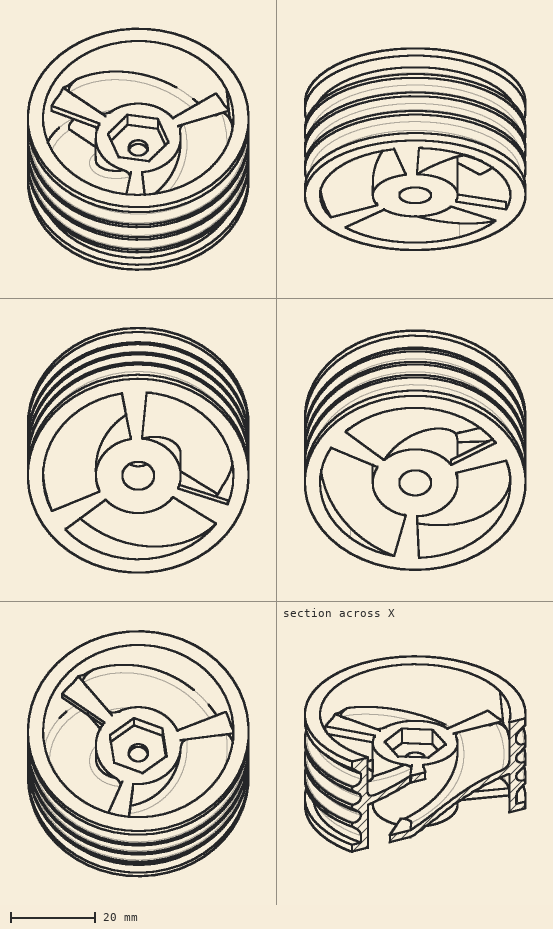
import cadquery as cq
import math

width = 25.0
rim_radius = 26.0
floor_radius = 24.0
bore_radius = 22.4
flange_width = 2.0
land_width = 1.0
land_bases = (7.0, 12.0, 17.0)
flank_depth = rim_radius - floor_radius
ledge_fillet = 1.5
wide_flank_fillet = 2.7
narrow_flank_blend = 0.75

hub_radius = 10.0
hub_height = 17.0
hex_across_flats = 12.5
hex_across_corners = hex_across_flats / math.cos(math.radians(30))
hex_depth = 4.0
hole_diameter = 4.5
head_bore_diameter = 7.5
web_thickness = 1.5

blade_count = 3
blade_thickness = 2.0
slab_angle = 15.0
first_blade_angle = 90.0
ramp_angle = 360.0 / blade_count
ramp_drop = hub_height - blade_thickness
blade_fillet = 1.5
fillet_bite = 0.02
overlap = 0.5


def arc_point(center, radius, angle):
    """Point on a circle, with the angle in degrees."""
    a = math.radians(angle)
    return (center[0] + radius * math.cos(a), center[1] + radius * math.sin(a))


def top_groove(profile, ledge_z, top_z):
    """From a filleted ledge up a straight floor to a sharp 45 degree flank."""
    center = (floor_radius + ledge_fillet, ledge_z + ledge_fillet)
    return (
        profile.lineTo(center[0], ledge_z)
        .threePointArc(arc_point(center, ledge_fillet, 225), (floor_radius, center[1]))
        .lineTo(floor_radius, top_z - flank_depth)
        .lineTo(rim_radius, top_z)
    )


def narrow_groove(profile, ledge_z, top_z):
    """Rounded groove with a filleted ledge below and a 45 degree flank above."""
    center = (floor_radius + ledge_fillet, ledge_z + ledge_fillet)
    blend_end = (floor_radius + narrow_flank_blend, top_z - flank_depth + narrow_flank_blend)
    return (
        profile.lineTo(center[0], ledge_z)
        .threePointArc(arc_point(center, ledge_fillet, 225), (floor_radius, center[1]))
        .tangentArcPoint(blend_end, relative=False)
        .lineTo(rim_radius, top_z)
    )


def bottom_groove(profile, ledge_z, top_z):
    """Sharp ledge, straight floor and a 45 degree flank blended in with a fillet."""
    corner_z = top_z - flank_depth
    center = (
        floor_radius + wide_flank_fillet,
        corner_z - wide_flank_fillet * math.tan(math.radians(22.5)),
    )
    return (
        profile.lineTo(floor_radius, ledge_z)
        .lineTo(floor_radius, center[1])
        .threePointArc(
            arc_point(center, wide_flank_fillet, 157.5),
            arc_point(center, wide_flank_fillet, 135),
        )
        .lineTo(rim_radius, top_z)
    )


def make_rim():
    profile = cq.Workplane("XZ").moveTo(bore_radius, 0).lineTo(rim_radius, 0)
    profile = profile.lineTo(rim_radius, flange_width)
    profile = bottom_groove(profile, flange_width, land_bases[0])
    for land_base, next_base in zip(land_bases, land_bases[1:]):
        profile = profile.lineTo(rim_radius, land_base + land_width)
        profile = narrow_groove(profile, land_base + land_width, next_base)
    top_land = land_bases[-1] + land_width
    profile = profile.lineTo(rim_radius, top_land)
    profile = top_groove(profile, top_land, width - flange_width)
    profile = profile.lineTo(rim_radius, width).lineTo(bore_radius, width).close()
    return profile.revolve(360, (0, 0, 0), (0, 1, 0))


def make_wedge(start_angle, span, base_z, height):
    """Ring sector between the hub and the bore."""
    inner = hub_radius - overlap
    outer = bore_radius + overlap
    ends = (start_angle, start_angle + span)
    middle = start_angle + span / 2
    origin = (0, 0)
    return (
        cq.Workplane("XY", origin=(0, 0, base_z))
        .moveTo(*arc_point(origin, inner, ends[0]))
        .lineTo(*arc_point(origin, outer, ends[0]))
        .threePointArc(arc_point(origin, outer, middle), arc_point(origin, outer, ends[1]))
        .lineTo(*arc_point(origin, inner, ends[1]))
        .threePointArc(arc_point(origin, inner, middle), arc_point(origin, inner, ends[0]))
        .close()
        .extrude(height)
    )


def make_ramp():
    """Helical plate, filleted on top to hub and bore, falling clockwise from angle 0.

    It runs on under the lower slab, so that its fillets fade out on the slab's flat top.
    """
    inner = hub_radius - overlap
    outer = bore_radius + overlap
    inner_center = (hub_radius - fillet_bite + blade_fillet, blade_fillet)
    outer_center = (bore_radius + fillet_bite - blade_fillet, blade_fillet)
    section = (
        cq.Workplane("XZ")
        .moveTo(inner, -blade_thickness)
        .lineTo(outer, -blade_thickness)
        .lineTo(outer, blade_fillet)
        .lineTo(*arc_point(outer_center, blade_fillet, 0))
        .threePointArc(
            arc_point(outer_center, blade_fillet, -45),
            arc_point(outer_center, blade_fillet, -90),
        )
        .lineTo(*arc_point(inner_center, blade_fillet, -90))
        .threePointArc(
            arc_point(inner_center, blade_fillet, -135),
            arc_point(inner_center, blade_fillet, 180),
        )
        .lineTo(inner, blade_fillet)
        .close()
    )
    span = ramp_angle + slab_angle
    drop = ramp_drop * span / ramp_angle
    helix = cq.Wire.makeHelix(drop * 360 / span, drop, bore_radius)
    ramp = section.sweep(cq.Workplane(obj=helix), isFrenet=True)
    ramp = ramp.rotate((0, 0, 0), (0, 0, 1), -span).translate((0, 0, hub_height - drop))
    return ramp.intersect(cq.Workplane("XY").circle(rim_radius).extrude(hub_height))


def make_blade():
    """Ramp with a flat slab at its upper end and another at its lower end."""
    upper_slab = make_wedge(0, slab_angle, hub_height - blade_thickness, blade_thickness)
    lower_slab = make_wedge(-ramp_angle - slab_angle, slab_angle, 0, blade_thickness)
    blade = make_ramp().union(upper_slab).union(lower_slab)
    return blade.rotate((0, 0, 0), (0, 0, 1), first_blade_angle)


def cut_hub(body):
    """Hexagonal pocket on top, a through hole, and a wider bore from below."""
    pocket_floor = hub_height - hex_depth
    hexagon = (
        cq.Workplane("XY", origin=(0, 0, pocket_floor))
        .polygon(6, hex_across_corners)
        .extrude(hex_depth)
    )
    hole = cq.Workplane("XY").circle(hole_diameter / 2).extrude(hub_height)
    head_bore = cq.Workplane("XY").circle(head_bore_diameter / 2).extrude(pocket_floor - web_thickness)
    return body.cut(hexagon).cut(hole).cut(head_bore)


result = make_rim().union(cq.Workplane("XY").circle(hub_radius).extrude(hub_height))
blade = make_blade()
for i in range(blade_count):
    result = result.union(blade.rotate((0, 0, 0), (0, 0, 1), i * ramp_angle))
result = cut_hub(result)